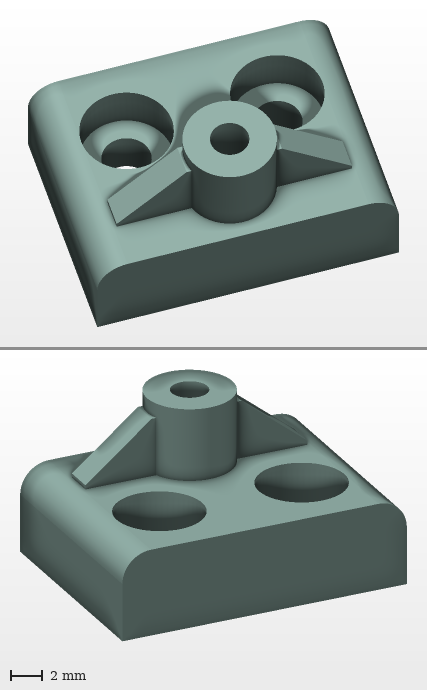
import cadquery as cq

base_width = 15.0
base_length = 20.0
base_height = 6.0
edge_radius = 2.0

mount_x = -2.5
mount_spacing = 10.0
mount_diameter = 3.2
counterbore_diameter = 6.0
counterbore_depth = 3.0

boss_x = 3.5
boss_diameter = 6.0
boss_bore = 2.5
total_height = 11.0

rib_thickness = 2.0
rib_reach = 7.8
rib_toe_height = 0.28
rib_shoulder = 3.15
rib_drop = 1.0
rib_top = total_height - rib_drop


def make_base():
    """Block with its two top edges along X rounded."""
    block = cq.Workplane("XY").box(base_width, base_length, base_height, centered=(True, True, False))
    return block.edges("|X and >Z").fillet(edge_radius)


def make_boss():
    """Solid round post standing on the base."""
    return (
        cq.Workplane("XY", origin=(boss_x, 0, base_height))
        .circle(boss_diameter / 2)
        .extrude(total_height - base_height)
    )


def make_ribs():
    """Pair of sloping ribs, formed as one symmetric profile through the boss."""
    toe_top = base_height + rib_toe_height
    return (
        cq.Workplane("YZ", origin=(boss_x, 0, 0))
        .moveTo(-rib_reach, base_height)
        .lineTo(-rib_reach, toe_top)
        .lineTo(-rib_shoulder, rib_top)
        .lineTo(rib_shoulder, rib_top)
        .lineTo(rib_reach, toe_top)
        .lineTo(rib_reach, base_height)
        .close()
        .extrude(rib_thickness / 2, both=True)
    )


def drill_mounting_holes(body):
    """Two through holes, counterbored from the top of the base."""
    positions = [(mount_x, side * mount_spacing / 2) for side in (-1, 1)]
    return (
        body.cut(
            cq.Workplane("XY").pushPoints(positions).circle(mount_diameter / 2).extrude(base_height)
        )
        .cut(
            cq.Workplane("XY", origin=(0, 0, base_height - counterbore_depth))
            .pushPoints(positions)
            .circle(counterbore_diameter / 2)
            .extrude(counterbore_depth)
        )
    )


def drill_boss(body):
    """Bore through the boss and the base."""
    bore = cq.Workplane("XY").center(boss_x, 0).circle(boss_bore / 2).extrude(total_height)
    return body.cut(bore)


base = drill_mounting_holes(make_base())
result = drill_boss(base.union(make_ribs()).union(make_boss()))